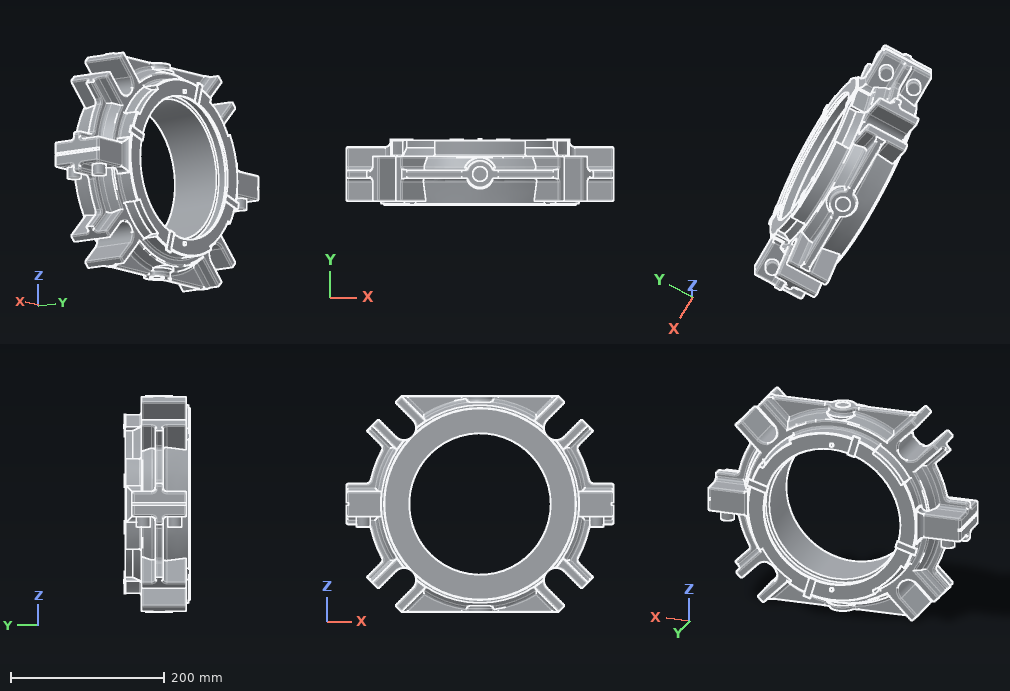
import cadquery as cq
import math

half_length = 174.6
half_height = 141.08
front_y = -40.6
back_y = 44.3
pin_tip_y = 45.91

bore_r = 184.15 / 2
groove_r = 193.68 / 2
groove_front_y = 27.6
groove_back_y = 38.4
lip_r = 94.5
lip_front_y = 41.4
face_r = 250.82 / 2
face_chamfer = 0.8
rim_front_y = -38.5
shoulder_front_y = -35.7
shoulder_back_y = 23.4
front_cone_r = 129.0
back_cone_r = 127.5
crown_front_r = 136.0
crown_back_r = 137.0
shoulder_round = 2.0
drum_r = 116.7
drum_fillet = 2.5
drum_chamfer = 1.2

relief_r = 111.0
relief_step_y = 34.0
relief_angle = 29.0

web_half = 5.25
web_r = 146.0
web_root_fillet = 4.5
web_edge_round = 2.0
web_corner_fillet = 6.0
web_end_round = 4.0
web_top_z = half_height
web_top_half_x = 99.0

gap_half = 15.5
lug_flange_v = 27.0
lug_web_v = 37.0
lug_end_r = 172.0
lug_start_r = 118.0
gap_centre_r = 140.0
flare_fillet = 5.0
edge_round = 2.0
lug_end_round = 1.8

block_half_z = 16.5
block_end_round = 3.0
block_web_half_z = 27.0
block_back_y = 35.5
block_start_x = 112.0
block_drum_fillet = 7.0
split_gap = 3.0
split_depth = 3.0

bolt_head_r = 9.0
bolt_x = 152.2
bolt_y = 20.5
bolt_bottom_z = -30.0
bolt_round = 0.8

boss_r = 17.5
boss_start_z = 120.0
boss_root_fillet = 4.0
boss_web_fillet = 3.0
boss_top_round = 1.0
boss_root_z = 131.8
dimple_r = 19.26 / 2
dimple_depth = 0.5

tab_inner_r = 93.0
tab_outer_r = 121.0
tab_width = 9.4
tab_angle = 16.5
tab_thickness = 0.9
pin_r = 2.5
pin_centre_z = 101.0
pin_embed = 1.0

clearance = 1.0
pick = 0.5


def box_between(x0, x1, y0, y1, z0, z1):
    """Box between opposite corners."""
    return cq.Workplane("XY").box(x1 - x0, y1 - y0, z1 - z0, centered=False).translate((x0, y0, z0))


def with_mirrors(shape):
    """A shape joined with its mirror images in the X = 0 and Z = 0 planes."""
    pair = shape.union(shape.mirror("YZ"))
    return pair.union(pair.mirror("XY"))


def ring():
    """Turned ring with a rounded-in web root; the bore is cut later."""
    slope_front = (crown_front_r - front_cone_r) / (-rim_front_y)
    root_y = web_half + web_root_fillet
    root_front_r = crown_front_r - slope_front * root_y
    slope_back = (crown_back_r - back_cone_r) / shoulder_back_y
    root_back_r = crown_back_r - slope_back * root_y
    sag = web_root_fillet * (1 - math.sqrt(0.5))
    profile = (
        cq.Workplane("XY")
        .moveTo(0, front_y)
        .lineTo(face_r - face_chamfer, front_y)
        .lineTo(face_r, front_y + face_chamfer)
        .lineTo(face_r, rim_front_y)
        .lineTo(front_cone_r, rim_front_y)
        .lineTo(root_front_r, -root_y)
        .threePointArc((root_front_r + sag, -web_half - sag), (root_front_r + web_root_fillet, -web_half))
        .lineTo(root_front_r + web_root_fillet, web_half)
        .lineTo(root_back_r + web_root_fillet, web_half)
        .threePointArc((root_back_r + sag, web_half + sag), (root_back_r, root_y))
        .lineTo(back_cone_r, shoulder_back_y - shoulder_round)
        .radiusArc((back_cone_r - shoulder_round, shoulder_back_y), -shoulder_round)
        .lineTo(drum_r + drum_fillet, shoulder_back_y)
        .radiusArc((drum_r, shoulder_back_y + drum_fillet), drum_fillet)
        .lineTo(drum_r, back_y - drum_chamfer)
        .lineTo(drum_r - drum_chamfer, back_y)
        .lineTo(0, back_y)
        .close()
    )
    return profile.revolve(360, (0, 0), (0, 1))


def drum_relief():
    """Cutter for the four shallow reliefs between the drum sectors."""
    clear_r = drum_r + drum_fillet
    clear_y = back_y + clearance
    sector = (
        cq.Workplane("XY")
        .polyline([
            (relief_r, clear_y),
            (relief_r, relief_step_y),
            (drum_r, shoulder_back_y),
            (clear_r, shoulder_back_y),
            (clear_r, clear_y),
        ])
        .close()
        .revolve(relief_angle, (0, 0), (0, 1))
        .rotate((0, 0, 0), (0, 1, 0), -relief_angle / 2 - 45)
    )
    return with_mirrors(sector)


def lug_arm(v0, v1, y0, y1, r0, r1):
    """Box on the upper right diagonal: r along it, v across it towards the top."""
    return box_between(r0, r1, y0, y1, v0, v1).rotate((0, 0, 0), (0, 1, 0), -45)


def web_plate():
    """Flat web: side arcs, lug and block ribs, and straight plates at top and bottom."""
    depth = 2 * web_half
    lug_middle_v = (gap_half + lug_flange_v) / 2
    disc = cq.Workplane("XZ").circle(web_r).extrude(web_half, both=True)
    plate = disc.union(cq.Workplane("XY").box(2 * half_length, depth, 2 * block_web_half_z))
    plate = plate.union(with_mirrors(lug_arm(-lug_web_v, -lug_middle_v, -web_half, web_half, 0, lug_end_r)))
    wedge = (
        cq.Workplane("XZ")
        .polyline([(0, 0), (web_top_half_x, web_top_z), (-web_top_half_x, web_top_z)])
        .close()
        .extrude(web_half, both=True)
    )
    plate = plate.union(wedge).union(wedge.mirror("XY"))
    plate = plate.intersect(cq.Workplane("XY").box(2 * half_length, depth, 2 * web_top_z))
    lug_corner_along = math.sqrt(web_r**2 - lug_web_v**2)
    corner_points = [
        (math.sqrt(web_r**2 - block_web_half_z**2), block_web_half_z),
        ((lug_corner_along + lug_web_v) / math.sqrt(2), (lug_corner_along - lug_web_v) / math.sqrt(2)),
    ]
    for x, z in corner_points:
        for sx in (1, -1):
            for sz in (1, -1):
                near = cq.selectors.BoxSelector(
                    (sx * x - pick, -pick, sz * z - pick), (sx * x + pick, pick, sz * z + pick)
                )
                plate = plate.edges(near).fillet(web_corner_fillet)
    plate = plate.edges("|Y and (<X or >X)").fillet(web_end_round)
    plate = plate.cut(gap_cutter())
    return plate.faces("<Y or >Y").edges().fillet(web_edge_round)


def diagonal_gap():
    """Cutter for one round-bottomed gap, lying along X."""
    depth = 2 * half_length
    slot = box_between(gap_centre_r, 2 * lug_end_r, -depth, depth, -gap_half, gap_half)
    return slot.union(cq.Workplane("XZ").center(gap_centre_r, 0).circle(gap_half).extrude(depth, both=True))


def gap_cutter():
    """Cutter for the four gaps between the lugs of each pair."""
    return with_mirrors(diagonal_gap().rotate((0, 0, 0), (0, 1, 0), -45))


def flared_side(flat, y0, y1):
    """Closed half section (Y across, height Z) of an arm whose flat top flares up into the web."""
    f = flare_fillet
    r = edge_round
    sag = 1 - math.sqrt(0.5)
    return (
        cq.Workplane("YZ")
        .moveTo(y0, 0)
        .lineTo(y0, flat - r)
        .threePointArc((y0 + r * sag, flat - r * sag), (y0 + r, flat))
        .lineTo(-web_half - f, flat)
        .threePointArc((-web_half - f * sag, flat + f * sag), (-web_half, flat + f))
        .lineTo(web_half, flat + f)
        .threePointArc((web_half + f * sag, flat + f * sag), (web_half + f, flat))
        .lineTo(y1 - r, flat)
        .threePointArc((y1 - r * sag, flat - r * sag), (y1, flat - r))
        .lineTo(y1, 0)
        .close()
    )


def lugs():
    """Four pairs of T-section lugs on the diagonals."""
    half = flared_side(lug_flange_v, shoulder_front_y, shoulder_back_y)
    arm = half.extrude(lug_end_r - lug_start_r).translate((lug_start_r, 0, 0))
    pair = arm.union(arm.mirror("XY")).cut(diagonal_gap())
    rims = []
    for y in (shoulder_front_y, shoulder_back_y):
        near = cq.selectors.BoxSelector(
            (lug_start_r + pick, y - pick, -gap_half - pick), (lug_end_r, y + pick, gap_half + pick)
        )
        rims += pair.edges(near).vals()
    pair = pair.newObject(rims).fillet(edge_round)
    pair = pair.faces(">X").edges().fillet(lug_end_round)
    pair = pair.rotate((0, 0, 0), (0, 1, 0), -45)
    clip = cq.Workplane("XY").box(2 * half_length, 2 * half_length, 2 * web_top_z)
    return with_mirrors(pair.intersect(clip))


def side_blocks():
    """Clamping blocks at both ends of the X axis."""
    half = flared_side(block_half_z, shoulder_front_y, block_back_y)
    arm = half.extrude(half_length - block_start_x).translate((block_start_x, 0, 0))
    block = arm.union(arm.mirror("XY"))
    block = block.faces(">X").edges().fillet(block_end_round)
    return block.union(block.mirror("YZ"))


def block_gussets():
    """Hollow-curved roots around the back and sides of the blocks where they meet the drum."""
    f = block_drum_fillet
    sag = f * (1 - math.sqrt(0.5))
    foot_x = drum_r + f
    wide_z = block_half_z + f
    back_curve = (
        cq.Workplane("XY")
        .workplane(offset=-wide_z)
        .moveTo(block_start_x, shoulder_back_y)
        .lineTo(foot_x, shoulder_back_y)
        .lineTo(foot_x, block_back_y)
        .threePointArc((drum_r + sag, block_back_y + sag), (drum_r, block_back_y + f))
        .lineTo(block_start_x, block_back_y + f)
        .close()
        .extrude(2 * wide_z)
    )
    side_curves = (
        cq.Workplane("XZ")
        .moveTo(block_start_x, wide_z)
        .lineTo(drum_r, wide_z)
        .threePointArc((drum_r + sag, block_half_z + sag), (foot_x, block_half_z))
        .lineTo(foot_x, -block_half_z)
        .threePointArc((drum_r + sag, -block_half_z - sag), (drum_r, -wide_z))
        .lineTo(block_start_x, -wide_z)
        .close()
        .extrude(half_length, both=True)
    )
    gusset = back_curve.intersect(side_curves)
    return gusset.union(gusset.mirror("YZ"))


def split_slits():
    """Shallow slits across the block end faces, along the parting plane."""
    slit = box_between(
        half_length - split_depth,
        half_length + clearance,
        -half_length,
        half_length,
        -split_gap / 2,
        split_gap / 2,
    )
    return slit.union(slit.mirror("YZ"))


def bolt_heads():
    """Round bolt heads under both side blocks."""
    places = [(sx * bolt_x, sy * bolt_y) for sx in (1, -1) for sy in (1, -1)]
    heads = cq.Workplane("XY").workplane(offset=bolt_bottom_z).pushPoints(places).circle(bolt_head_r)
    return heads.extrude(-bolt_bottom_z - split_gap).faces("<Z").edges().fillet(bolt_round)


def top_boss():
    """Round boss blended into the straight web plate, flaring out where it meets the ring."""
    height = half_height - boss_start_z
    stub_half_x = boss_r + 2 * boss_web_fillet
    boss = cq.Workplane("XY").workplane(offset=boss_start_z).circle(boss_r).extrude(height)
    stub = box_between(-stub_half_x, stub_half_x, -web_half, web_half, boss_start_z, half_height)
    boss = boss.union(stub)
    corners = boss.edges("|Z").edges(
        cq.selectors.BoxSelector((-boss_r, -boss_r, 0), (boss_r, boss_r, half_height))
    )
    boss = corners.fillet(boss_web_fillet)
    boss = boss.faces(">Z").edges("not |Y").fillet(boss_top_round)
    sag = boss_root_fillet * (1 - math.sqrt(0.5))
    foot_r = boss_r + boss_root_fillet
    flare = (
        cq.Workplane("XZ")
        .moveTo(0, boss_start_z)
        .lineTo(foot_r, boss_start_z)
        .lineTo(foot_r, boss_root_z)
        .threePointArc((boss_r + sag, boss_root_z + sag), (boss_r, boss_root_z + boss_root_fillet))
        .lineTo(0, boss_root_z + boss_root_fillet)
        .close()
        .revolve(360, (0, 0), (0, 1))
    )
    return boss.union(flare)


def dimples():
    """Cutters for the shallow round recesses in the boss faces."""
    floor_z = half_height - dimple_depth
    dimple = cq.Workplane("XY").workplane(offset=floor_z).circle(dimple_r).extrude(2 * dimple_depth)
    return dimple.union(dimple.mirror("XY"))


def back_tabs():
    """Four thin radial tabs on the back face, a quarter turn apart."""
    tab = box_between(
        -tab_width / 2, tab_width / 2, back_y - tab_thickness, back_y + tab_thickness, tab_inner_r, tab_outer_r
    )
    tabs = cq.Workplane("XY")
    for quarter in range(4):
        tabs = tabs.union(tab.rotate((0, 0, 0), (0, 1, 0), -tab_angle + 90 * quarter))
    return tabs


def back_pins():
    """Two small pins on the back face."""
    root_y = back_y - pin_embed
    pins = cq.Workplane("XZ", origin=(0, root_y, 0)).pushPoints([(0, pin_centre_z), (0, -pin_centre_z)])
    return pins.circle(pin_r).extrude(root_y - pin_tip_y)


def bore_cutter():
    """Bore with a wide inner groove and a conical lead to the back lip."""
    return (
        cq.Workplane("XY")
        .polyline([
            (0, front_y - clearance),
            (bore_r, front_y - clearance),
            (bore_r, groove_front_y),
            (groove_r, groove_front_y),
            (groove_r, groove_back_y),
            (lip_r, lip_front_y),
            (lip_r, back_y + clearance),
            (0, back_y + clearance),
        ])
        .close()
        .revolve(360, (0, 0), (0, 1))
    )


body = ring().cut(drum_relief())
body = body.union(side_blocks()).union(block_gussets())
body = body.union(lugs()).cut(gap_cutter())
body = body.union(web_plate())
body = body.union(top_boss()).union(top_boss().mirror("XY"))
body = body.cut(dimples()).cut(split_slits()).union(bolt_heads())
body = body.cut(bore_cutter())
result = body.union(back_tabs()).union(back_pins())